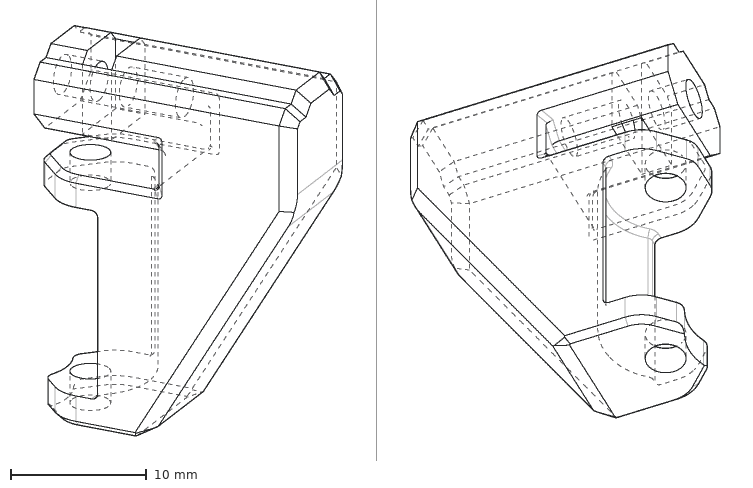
import cadquery as cq
length = 22.0
width = 9.5
height = 28.93
half_width = width / 2

small_edge = 0.5
large_edge = 1.0
inner_round = 0.5
hole_diameter = 3.0

rail_front = 0.8
rail_height = 6.36
rail_bottom = height - rail_height
flank_chamfer = 1.8
ridge_height = 0.8
ridge_half_width = 2.75
bolt_height = height - rail_height / 2

nut_slot_start = 3.82
nut_slot_length = 2.4
nut_slot_width = 2 * ridge_half_width

lug_top = 19.95
lower_lug_thickness = 2.52
lug_gap = 15.01
hinge_x = 3.1
hinge_wall_x = 6.05
hinge_clearance_radius = 5.0
lug_corner = 3.0
lug_side_round = 3.0
lug_tip_round = 1.5

scoop_radius = 4.48
scoop_bottom_x = 1.15
scoop_edge_round = 0.95

web_front = 10.85
slope_bottom_x = 10.0
slope_top_z = 20.02
slope_round = 5.2

from_front = (False, True, False)


def centre_box(x_range, y_reach, z_range):
    """Select whatever is centred in a box, symmetric about Y = 0, grown by a small margin."""
    margin = 0.03
    low = (x_range[0] - margin, -y_reach - margin, z_range[0] - margin)
    high = (x_range[1] + margin, y_reach + margin, z_range[1] + margin)
    return cq.selectors.BoxSelector(low, high)


def mirrored_outline(half):
    """Complete a half section, given from top to bottom or bottom to top, with its image across Y = 0."""
    return half + [(-y, z) for y, z in reversed(half)]


def sharp_envelope():
    """Side outline with the sloping back, under the stepped top of the rail."""
    half_section = [(ridge_half_width - ridge_height, height),
                    (ridge_half_width, height - ridge_height),
                    (half_width - large_edge, height - ridge_height),
                    (half_width, height - ridge_height - large_edge),
                    (half_width, 0)]
    bar = cq.Workplane("YZ").polyline(mirrored_outline(half_section)).close().extrude(length)
    side = (
        cq.Workplane("XZ")
        .polyline([(0, 0), (slope_bottom_x, 0), (length, slope_top_z), (length, height), (0, height)])
        .close()
        .extrude(half_width, both=True)
    )
    return bar.intersect(side)


def slope_face(block):
    """The sloping face of the back."""
    slope_middle = ((slope_bottom_x + length) / 2, 0, slope_top_z / 2)
    return block.faces(cq.selectors.NearestToPointSelector(slope_middle))


def envelope():
    """Outer limits of the part, with the toe and all edges of the base and back broken."""
    sharp = sharp_envelope()
    back_faces = sharp.faces(">X").add(slope_face(sharp))
    side_edges = cq.selectors.InverseSelector(centre_box((0, length), 0, (0, slope_top_z)))
    chamfered_back = back_faces.edges(side_edges).chamfer(large_edge)

    bends = sharp.faces("<Z").edges("|X").chamfer(small_edge)
    toe = centre_box((0, slope_bottom_x + small_edge), half_width, (0, small_edge))
    bends = slope_face(bends).edges(toe).chamfer(large_edge)
    bends = slope_face(bends).edges("|Y and >Z").fillet(slope_round)
    return chamfered_back.intersect(bends)


def lug_outline():
    """Plan of the lugs: rounded 45 degree corners at the tip, straight sides to the back."""
    plan = (
        cq.Workplane("XY")
        .moveTo(0, -half_width + lug_corner)
        .lineTo(lug_corner, -half_width)
        .lineTo(length, -half_width)
        .lineTo(length, half_width)
        .lineTo(lug_corner, half_width)
        .lineTo(0, half_width - lug_corner)
        .close()
        .extrude(lug_top)
    )
    plan = plan.edges("|Z").edges("<X").fillet(lug_tip_round)
    side_corners = centre_box((lug_corner, lug_corner), half_width, (0, lug_top))
    return plan.edges("|Z").edges(side_corners).fillet(lug_side_round)


def lug_column():
    """Lug outline from the base to the top of the upper lug, chamfered at both ends."""
    return lug_outline().faces("<Z or >Z").edges().chamfer(small_edge)


def rail():
    """Bar along the top with 45 degree lower flanks."""
    flat_half_width = half_width - flank_chamfer
    lower_half = [(half_width, height),
                  (half_width, rail_bottom + flank_chamfer),
                  (flat_half_width, rail_bottom)]
    outline = cq.Workplane("YZ").workplane(offset=rail_front).polyline(mirrored_outline(lower_half)).close()
    return outline.extrude(length - rail_front)


def web():
    """Block joining the rail to the lugs, its front corners chamfered like the lugs."""
    block_bottom = lug_top - inner_round - small_edge
    block_height = height - block_bottom
    block = cq.Workplane("XY").box(length - web_front, width, block_height, centered=from_front)
    return block.edges("|Z and <X").chamfer(small_edge).translate((web_front, 0, block_bottom))


def round_recess_end(body):
    """Fillet the inside edges where the rail and the upper lug meet the web."""
    chamfer_depth = (web_front, web_front + small_edge)
    under_rail = centre_box(chamfer_depth, half_width, (rail_bottom, rail_bottom + flank_chamfer))
    on_lug = centre_box(chamfer_depth, half_width, (lug_top - small_edge, lug_top))
    return body.edges(under_rail + on_lug).fillet(inner_round)


def hinge_recess():
    """Space between the lugs: a flat back with a round clearance about the hinge axis."""
    slab_length = hinge_wall_x + length
    slab = cq.Workplane("XY").box(slab_length, 2 * width, lug_gap, centered=from_front)
    slab = slab.translate((-length, 0, 0))
    round_space = cq.Workplane("XY").center(hinge_x, 0).circle(hinge_clearance_radius).extrude(lug_gap)
    space = slab.union(round_space)
    wall_corners = centre_box((hinge_wall_x, hinge_wall_x), hinge_clearance_radius, (0, lug_gap))
    space = space.edges("|Z").edges(wall_corners).fillet(inner_round)
    behind_axis = centre_box((hinge_wall_x, length), width, (0, lug_gap))
    space = space.faces("<Z or >Z").edges(behind_axis).fillet(inner_round)
    return space.translate((0, 0, lower_lug_thickness))


def lower_lug_scoop():
    """What the concave, round-edged front removes from the lower lug."""
    scoop = cq.Workplane("XY").center(scoop_bottom_x - scoop_radius, 0).circle(scoop_radius)
    kept = lug_outline().cut(scoop.extrude(lug_top))
    kept = kept.edges("|Z and <X").fillet(scoop_edge_round)
    lug_space = cq.Workplane("XY").box(hinge_x, width, lower_lug_thickness, centered=from_front)
    return lug_space.cut(kept)


def nut_slot():
    """Slot down through the rail for a captive nut."""
    slot = cq.Workplane("XY").box(nut_slot_length, nut_slot_width, rail_height, centered=from_front)
    return slot.translate((nut_slot_start, 0, rail_bottom))


body = lug_column().union(web()).union(rail())
body = round_recess_end(body)
body = body.intersect(envelope())

body = body.cut(hinge_recess()).cut(lower_lug_scoop()).cut(nut_slot())

hinge_hole = cq.Workplane("XY").center(hinge_x, 0).circle(hole_diameter / 2).extrude(lug_top)
bolt_hole = cq.Workplane("YZ").center(0, bolt_height).circle(hole_diameter / 2).extrude(web_front)
result = body.cut(hinge_hole).cut(bolt_hole)